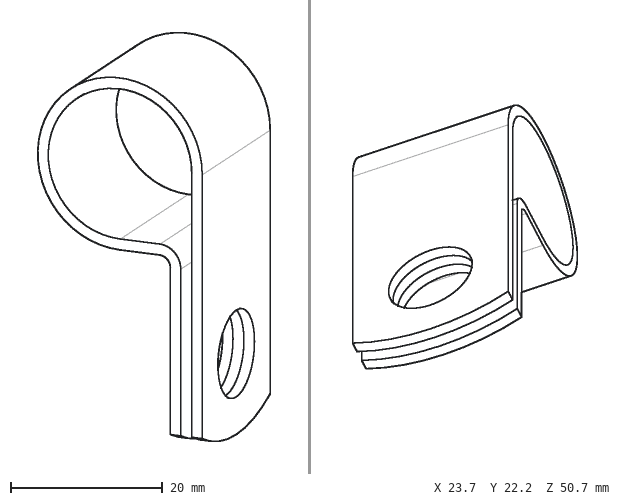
import cadquery as cq

total_height = 50.7
strip_width = 22.2
thickness = 1.5
loop_diameter = 23.7
leg_gap = 1.55

bend_inner_radius = 1.5
hole_diameter = 11.9
hole_height = 11.15
end_rise = 2.55

outer_radius = loop_diameter / 2
inner_radius = outer_radius - thickness
bend_outer_radius = bend_inner_radius + thickness
bottom_z = outer_radius - total_height
short_leg_outer_x = inner_radius - leg_gap
short_leg_inner_x = short_leg_outer_x - thickness
bend_center_x = short_leg_outer_x - bend_outer_radius
bend_center_z = -inner_radius - bend_outer_radius
half_width = strip_width / 2


def bent_strip():
    """Loop with a long tangent leg and a short leg bent down beside it."""
    diagonal = 0.5 ** 0.5
    bend_outer_mid = (
        bend_center_x + bend_outer_radius * diagonal,
        bend_center_z + bend_outer_radius * diagonal,
    )
    bend_inner_mid = (
        bend_center_x + bend_inner_radius * diagonal,
        bend_center_z + bend_inner_radius * diagonal,
    )
    outer_mid = (-outer_radius * diagonal, outer_radius * diagonal)
    inner_mid = (-inner_radius * diagonal, inner_radius * diagonal)
    return (
        cq.Workplane("XZ")
        .moveTo(outer_radius, bottom_z)
        .lineTo(outer_radius, 0)
        .threePointArc(outer_mid, (0, -outer_radius))
        .lineTo(bend_center_x, -outer_radius)
        .threePointArc(bend_inner_mid, (short_leg_inner_x, bend_center_z))
        .lineTo(short_leg_inner_x, bottom_z)
        .lineTo(short_leg_outer_x, bottom_z)
        .lineTo(short_leg_outer_x, bend_center_z)
        .threePointArc(bend_outer_mid, (bend_center_x, -inner_radius))
        .lineTo(0, -inner_radius)
        .threePointArc(inner_mid, (inner_radius, 0))
        .lineTo(inner_radius, bottom_z)
        .close()
        .extrude(half_width, both=True)
    )


def rounded_end_envelope():
    """Block along X whose curved underside trims both leg ends."""
    corner_z = bottom_z + end_rise
    return (
        cq.Workplane("YZ")
        .moveTo(-half_width, outer_radius)
        .lineTo(-half_width, corner_z)
        .threePointArc((0, bottom_z), (half_width, corner_z))
        .lineTo(half_width, outer_radius)
        .close()
        .extrude(loop_diameter, both=True)
    )


def bolt_hole():
    """Cylinder along X through both legs."""
    return (
        cq.Workplane("YZ")
        .center(0, bottom_z + hole_height)
        .circle(hole_diameter / 2)
        .extrude(loop_diameter, both=True)
    )


result = bent_strip().intersect(rounded_end_envelope()).cut(bolt_hole())